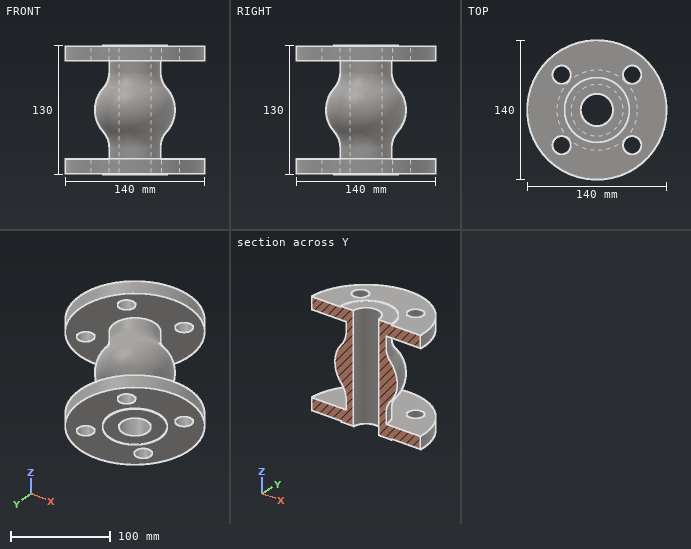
import cadquery as cq
import math

total_height = 130.0
flange_diameter = 140.0
flange_thickness = 15.0
raised_face_diameter = 65.0
raised_face_height = 1.0
bore_diameter = 32.0

bolt_hole_diameter = 18.0
bolt_circle_diameter = 100.0
bolt_count = 4
first_bolt_angle = 45.0

neck_diameter = 52.0
belly_diameter = 80.6
neck_start = 37.0
belly_end = 22.0

half_height = total_height / 2
flange_outer = half_height - raised_face_height
flange_inner = flange_outer - flange_thickness
flange_radius = flange_diameter / 2
face_radius = raised_face_diameter / 2
neck_radius = neck_diameter / 2
belly_radius = belly_diameter / 2

sweep_angle = 2 * math.atan((belly_radius - neck_radius) / neck_start)
belly_arc_radius = belly_end / math.sin(sweep_angle)
neck_arc_radius = (neck_start - belly_end) / math.sin(sweep_angle)
join_radius = neck_radius + neck_arc_radius * (1 - math.cos(sweep_angle))

half_sweep = sweep_angle / 2
neck_mid_radius = neck_radius + neck_arc_radius * (1 - math.cos(half_sweep))
neck_mid_height = neck_start - neck_arc_radius * math.sin(half_sweep)


def make_body():
    """Revolve the necks, belly and both flanges about Z."""
    profile = (
        cq.Workplane("XZ")
        .moveTo(0, -half_height)
        .lineTo(face_radius, -half_height)
        .lineTo(face_radius, -flange_outer)
        .lineTo(flange_radius, -flange_outer)
        .lineTo(flange_radius, -flange_inner)
        .lineTo(neck_radius, -flange_inner)
        .lineTo(neck_radius, -neck_start)
        .threePointArc((neck_mid_radius, -neck_mid_height), (join_radius, -belly_end))
        .threePointArc((belly_radius, 0), (join_radius, belly_end))
        .threePointArc((neck_mid_radius, neck_mid_height), (neck_radius, neck_start))
        .lineTo(neck_radius, flange_inner)
        .lineTo(flange_radius, flange_inner)
        .lineTo(flange_radius, flange_outer)
        .lineTo(face_radius, flange_outer)
        .lineTo(face_radius, half_height)
        .lineTo(0, half_height)
        .close()
    )
    return profile.revolve(360, (0, 0, 0), (0, 1, 0))


def make_bore():
    """Straight bore through the full height."""
    return cq.Workplane("XY").circle(bore_diameter / 2).extrude(half_height, both=True)


def make_bolt_holes():
    """Bolt hole cutters that pass through both flanges, clear of the belly."""
    return (
        cq.Workplane("XY")
        .polarArray(bolt_circle_diameter / 2, first_bolt_angle, 360, bolt_count)
        .circle(bolt_hole_diameter / 2)
        .extrude(half_height, both=True)
    )


result = make_body().cut(make_bore()).cut(make_bolt_holes())